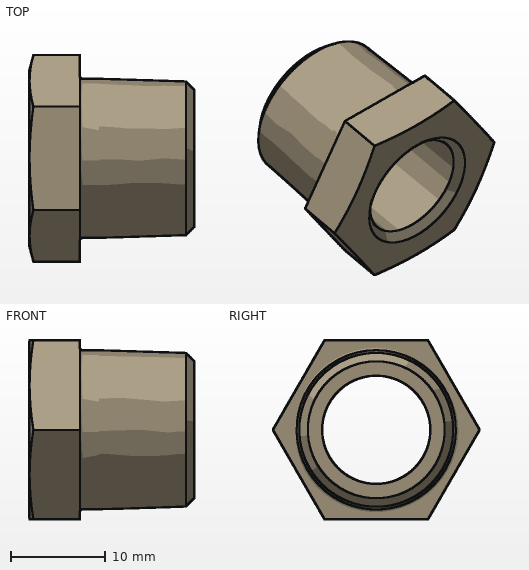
import cadquery as cq
import math

across_corners = 21.95
head_length = 5.38
head_face_diameter = 18.6
head_chamfer_angle = 15.0
head_trim_overrun = 0.22

total_length = 17.5
spigot_diameter = 16.9
base_fillet_radius = 0.3
taper_start = 7.42
tip_diameter = 16.32
tip_chamfer = 0.9

bore_diameter = 11.45
countersink_diameter = 13.16
countersink_depth = (countersink_diameter - bore_diameter) / 2


def revolve_about_x(outline):
    """Turn a closed outline, drawn as (x, radius), about the X axis."""
    return outline.revolve(360, (0, 0, 0), (1, 0, 0))


def revolve_polygon(points):
    """Turn a straight-sided outline of (x, radius) points about the X axis."""
    return revolve_about_x(cq.Workplane("XZ").polyline(points).close())


def make_head():
    """Hexagonal prism whose corners are trimmed by a shallow cone at the front face."""
    prism = cq.Workplane("YZ").polygon(6, across_corners).extrude(head_length)
    face_radius = head_face_diameter / 2
    corner_radius = across_corners / 2
    trim_radius = corner_radius + head_trim_overrun
    trim_length = (trim_radius - face_radius) * math.tan(math.radians(head_chamfer_angle))
    envelope = revolve_polygon([
        (0, 0),
        (0, face_radius),
        (trim_length, trim_radius),
        (head_length, trim_radius),
        (head_length, 0),
    ])
    return prism.intersect(envelope)


def make_spigot():
    """Straight collar with a fillet at the head, then a slight taper and a chamfered tip."""
    collar_radius = spigot_diameter / 2
    tip_radius = tip_diameter / 2
    fillet_mid_offset = base_fillet_radius * (1 - math.cos(math.radians(45)))
    outline = (
        cq.Workplane("XZ")
        .moveTo(head_length, 0)
        .lineTo(head_length, collar_radius + base_fillet_radius)
        .threePointArc(
            (head_length + fillet_mid_offset, collar_radius + fillet_mid_offset),
            (head_length + base_fillet_radius, collar_radius),
        )
        .lineTo(taper_start, collar_radius)
        .lineTo(total_length - tip_chamfer, tip_radius)
        .lineTo(total_length, tip_radius - tip_chamfer)
        .lineTo(total_length, 0)
        .close()
    )
    return revolve_about_x(outline)


def make_bore():
    """Through hole that widens in a cone at the head face."""
    bore_radius = bore_diameter / 2
    return revolve_polygon([
        (0, 0),
        (0, countersink_diameter / 2),
        (countersink_depth, bore_radius),
        (total_length, bore_radius),
        (total_length, 0),
    ])


result = make_head().union(make_spigot()).cut(make_bore())